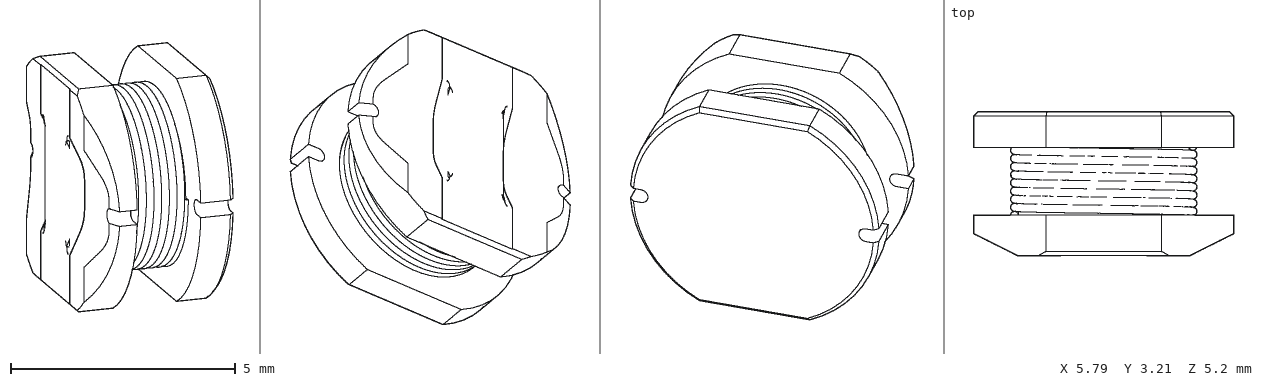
import cadquery as cq
import math


flange_radius = 2.9
flange_height = 5.2
edge_chamfer = 0.1
back_thickness = 0.8
winding_gap = 1.5
front_thickness = 0.91
total_depth = back_thickness + winding_gap + front_thickness

front_y = -total_depth / 2
front_inner_y = front_y + front_thickness
back_inner_y = front_inner_y + winding_gap
back_y = back_inner_y + back_thickness

notch_radius = 0.17
notch_tip_x = 2.457

web_half_width = 0.96
web_recess = 0.01
web_y = front_y + web_recess
bevel_start_x = 1.905
bevel_slope = 0.5

pocket_depth = 0.35
pocket_floor_half = 0.35
pocket_blend_half = 0.88
pocket_wall_half = 1.355
pocket_half = 1.39
pocket_wall_angle = math.radians(25.2)
pocket_end_x = 0.75
pocket_end_fillet = 0.07
rim_straight_half = 1.12
rim_bend_x = 0.7
rim_bend_z = 1.19
rim_half = 1.24

core_radius = 1.9
wire_radius = 0.09
wire_sink = 0.005
wire_pitch = 0.181
wire_turns = 8.5
wire_start_inset = 0.03


def flange(y_start, thickness):
    """Disc with flat top and bottom, extending from y_start toward +Y."""
    disc = cq.Workplane("XZ", origin=(0, y_start, 0)).circle(flange_radius).extrude(-thickness)
    flats = cq.Workplane("XY").box(2 * flange_radius, 4 * total_depth, flange_height)
    return disc.intersect(flats)


def front_flange():
    """Front flange with chamfered flats, side bevels and a recessed web."""
    body = flange(front_y, front_thickness)
    body = body.faces("<Y").edges("|X").chamfer(edge_chamfer)

    web = cq.Workplane("XY").box(2 * web_half_width, 2 * web_recess, flange_height)
    body = body.cut(web.translate((0, front_y, 0)))

    bevel_run = flange_radius - bevel_start_x
    for side in (-1, 1):
        bevel = (
            cq.Workplane("XY", origin=(0, 0, -flange_height / 2))
            .moveTo(side * bevel_start_x, front_y)
            .lineTo(side * (bevel_start_x + 2 * bevel_run), front_y)
            .lineTo(side * (bevel_start_x + 2 * bevel_run), front_y + 2 * bevel_run * bevel_slope)
            .close()
            .extrude(flange_height)
        )
        body = body.cut(bevel)
        body = body.cut(terminal_pocket(side))
    return body


def pocket_channel(start_x, end_x, face_y):
    """Trough along X below face_y: flat floor, round blends, sloping walls run on past the face."""
    blend_run = pocket_blend_half - pocket_floor_half
    mid_rise, mid_run = half_arc(blend_run)
    floor_y = face_y + pocket_depth
    blend_y = floor_y - blend_run * math.tan(pocket_wall_angle / 2)
    mid_y = floor_y - mid_rise
    mid_z = pocket_floor_half + mid_run
    top_y = face_y - pocket_depth
    top_z = pocket_blend_half + (blend_y - top_y) / math.tan(pocket_wall_angle)
    return (
        cq.Workplane("YZ", origin=(start_x, 0, 0))
        .moveTo(top_y, -top_z)
        .lineTo(blend_y, -pocket_blend_half)
        .threePointArc((mid_y, -mid_z), (floor_y, -pocket_floor_half))
        .lineTo(floor_y, pocket_floor_half)
        .threePointArc((mid_y, mid_z), (blend_y, pocket_blend_half))
        .lineTo(top_y, top_z)
        .close()
        .extrude(end_x - start_x)
    )


def pocket_lips(start_x, end_x, face_y):
    """Cutting bodies that round the long edges of the trough where its walls meet face_y."""
    lip_run = pocket_half - pocket_wall_half
    mid_drop, mid_run = half_arc(lip_run)
    upper = (
        cq.Workplane("YZ", origin=(start_x, 0, 0))
        .moveTo(face_y, pocket_half)
        .threePointArc(
            (face_y + mid_drop, pocket_half - mid_run),
            (face_y + lip_run * math.tan(pocket_wall_angle / 2), pocket_wall_half),
        )
        .lineTo(face_y, pocket_wall_half)
        .close()
        .extrude(end_x - start_x)
    )
    return upper.union(upper.mirror("XY"))


def half_arc(run):
    """Rise and run at the middle of an arc that turns from flat to the wall angle over run."""
    radius = run / math.sin(pocket_wall_angle)
    half_angle = pocket_wall_angle / 2
    return radius * (1 - math.cos(half_angle)), radius * math.sin(half_angle)


def pocket_rim_round():
    """Cutting body that rounds the top of the end wall into the web, fading out at both ends."""
    tip_x = pocket_end_x - pocket_end_fillet
    arc_offset = pocket_end_fillet * math.sqrt(0.5)
    outline = (
        cq.Workplane("XZ", origin=(0, web_y, 0))
        .moveTo(tip_x, -rim_straight_half)
        .lineTo(tip_x, rim_straight_half)
        .threePointArc((rim_bend_x, rim_bend_z), (pocket_end_x, rim_half))
        .lineTo(pocket_end_x, -rim_half)
        .threePointArc((rim_bend_x, -rim_bend_z), (tip_x, -rim_straight_half))
        .close()
        .extrude(-pocket_end_fillet)
    )
    section = (
        cq.Workplane("XY", origin=(0, 0, -rim_half))
        .moveTo(tip_x, web_y)
        .lineTo(pocket_end_x, web_y)
        .lineTo(pocket_end_x, web_y + pocket_end_fillet)
        .threePointArc(
            (tip_x + arc_offset, web_y + pocket_end_fillet - arc_offset),
            (tip_x, web_y),
        )
        .close()
        .extrude(2 * rim_half)
    )
    return outline.intersect(section)


def terminal_pocket(side):
    """Cutting body for the pocket on one side (-1 or +1 along X)."""
    foot_x = pocket_end_x + pocket_end_fillet
    inner = pocket_channel(pocket_end_x, web_half_width, web_y)
    floor_edges = inner.faces("<X").edges("not <Y")
    outer = pocket_channel(web_half_width, flange_radius, front_y)
    pocket = floor_edges.fillet(pocket_end_fillet).union(outer).union(pocket_rim_round())
    pocket = pocket.union(pocket_lips(foot_x, web_half_width, web_y))
    pocket = pocket.union(pocket_lips(web_half_width, flange_radius, front_y))
    if side < 0:
        pocket = pocket.mirror("YZ")
    return pocket


def back_flange():
    """Back flange with its outer rim chamfered all round."""
    return flange(back_inner_y, back_thickness).faces(">Y").edges().chamfer(edge_chamfer)


def lead_notch(side):
    """Round-ended slot cut through both flanges on one side."""
    centre_x = notch_tip_x + notch_radius
    cutter = cq.Workplane("XZ", origin=(0, back_y, 0)).center(side * centre_x, 0)
    tip = cutter.circle(notch_radius).extrude(total_depth)
    mouth = cutter.center(side * notch_radius, 0).rect(2 * notch_radius, 2 * notch_radius)
    return tip.union(mouth.extrude(total_depth))


def winding():
    """Left-hand wire helix around Y, starting at +X inside the back flange."""
    coil_radius = core_radius + wire_radius - wire_sink
    path = cq.Workplane("XY").newObject([
        cq.Wire.makeHelix(wire_pitch, wire_pitch * wire_turns, coil_radius, lefthand=True)
    ])
    wire = cq.Workplane("XZ").center(coil_radius, 0).circle(wire_radius).sweep(path, isFrenet=True)
    wire = wire.rotate((0, 0, 0), (1, 0, 0), 90)
    return wire.translate((0, back_inner_y + wire_start_inset, 0))


core = cq.Workplane("XZ", origin=(0, front_inner_y, 0)).circle(core_radius).extrude(-winding_gap)
result = core.union(front_flange()).union(back_flange())
for notch_side in (-1, 1):
    result = result.cut(lead_notch(notch_side))
result = result.union(winding())